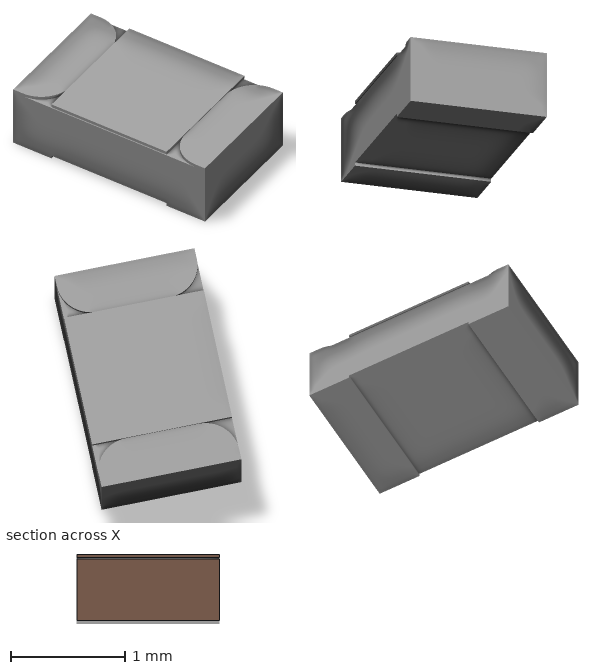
import cadquery as cq


chip_length = 2.0
chip_width = 1.25
core_height = 0.54
metal_thickness = 0.03
flap_length = 0.4
flap_corner_radius = 0.3
plate_thickness = 0.03
plate_gap = 0.01
plate_rise = 0.009

core_length = chip_length - 2 * metal_thickness
core_top = metal_thickness + core_height
plate_length = chip_length - 2 * flap_length
plate_base = core_top + plate_gap
terminal_height = plate_base + plate_thickness - plate_rise
top_flap_thickness = terminal_height - core_top


def block(length, height, x_center, z_base):
    """Full-width block centred on Y = 0 with its underside at z_base."""
    return (
        cq.Workplane("XY")
        .box(length, chip_width, height, centered=(True, True, False))
        .translate((x_center, 0, z_base))
    )


def make_core():
    """Plain ceramic block that fills the space between the terminal flaps."""
    return block(core_length, core_height, 0, metal_thickness)


def make_terminal(side):
    """C-shaped end cap at the -X end (side = -1) or the +X end (side = 1)."""
    wall_x = side * (chip_length - metal_thickness) / 2
    flap_x = side * (chip_length - flap_length) / 2
    inner_face = "<X" if side > 0 else ">X"

    end_wall = block(metal_thickness, terminal_height, wall_x, 0)
    bottom_flap = block(flap_length, metal_thickness, flap_x, 0)
    top_flap = (
        block(flap_length, top_flap_thickness, flap_x, core_top)
        .faces(inner_face)
        .edges("|Z")
        .fillet(flap_corner_radius)
    )
    return end_wall.union(bottom_flap).union(top_flap)


def make_plate():
    """Protective plate between the top flaps, held just clear of the core."""
    return block(plate_length, plate_thickness, 0, plate_base)


core = make_core()
terminals = [make_terminal(side) for side in (-1, 1)]
plate = make_plate()

result = cq.Compound.makeCompound(
    [core.val(), *[terminal.solids().val() for terminal in terminals], plate.val()]
)